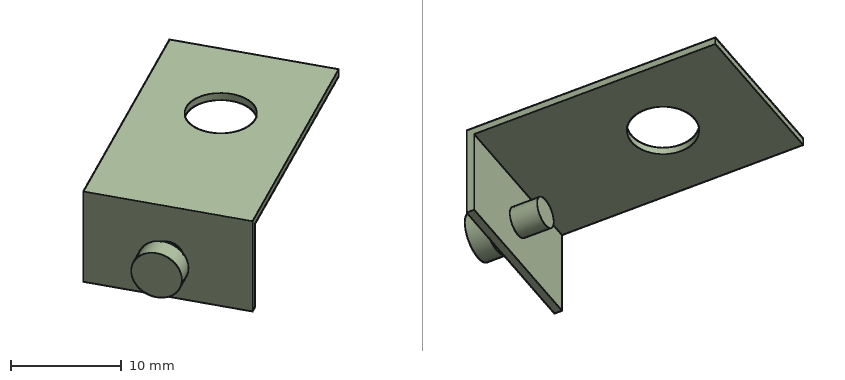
import cadquery as cq

width = 16.0
overall_length = 29.2
height = 9.8
sheet_thickness = 0.8

head_diameter = 4.8
head_length = 2.0
shank_diameter = 3.0
shank_length = 5.02
head_gap = 1.4
screw_drop = 5.3

hole_diameter = 6.5
hole_from_rear = 10.0

plate_length = overall_length - head_length - head_gap


def make_bracket():
    """L-shaped sheet: a horizontal plate with a flange down its front edge."""
    plate = cq.Workplane("XY").box(
        width, plate_length, sheet_thickness, centered=(True, False, False)
    ).translate((0, 0, -sheet_thickness))
    flange = cq.Workplane("XY").box(
        width, sheet_thickness, height, centered=(True, False, False)
    ).translate((0, 0, -height))
    hole = (
        cq.Workplane("XY")
        .center(0, plate_length - hole_from_rear)
        .circle(hole_diameter / 2)
        .extrude(-sheet_thickness)
    )
    return plate.union(flange).cut(hole)


def make_screw():
    """Cylindrical head in front of the flange and a shank passing through it."""
    head_back = cq.Workplane("XZ", origin=(0, -head_gap, -screw_drop))
    head = head_back.circle(head_diameter / 2).extrude(head_length)
    shank = head_back.circle(shank_diameter / 2).extrude(-shank_length)
    return head.union(shank)


result = make_bracket().union(make_screw())